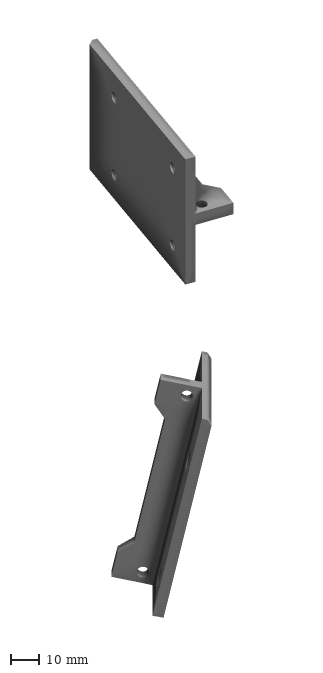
import cadquery as cq

length = 80.0
height = 55.0
plate_thickness = 4.0
end_chamfer = 2.0
relief_width = 0.1
relief_depth = 3.0

plate_hole_diameter = 4.2
countersink_diameter = 7.8
countersink_angle = 90.0
plate_hole_spacing_x = 47.5
plate_hole_spacing_z = 34.0
plate_hole_center_x = 45.75

flange_thickness = 5.0
overall_depth = 19.0
flange_hole_diameter = 4.3
flange_hole_spacing = 71.5
flange_hole_y = 8.5

notch_depth = 5.0
tab_length = 10.0

mid_x = length / 2
mid_z = height / 2


def make_plate():
    """Plate with its front face on Y = 0, profiled in XY and extruded up Z."""
    relief_x = length - relief_width
    profile = [
        (end_chamfer, 0),
        (relief_x, 0),
        (relief_x, relief_depth),
        (length, relief_depth),
        (length, plate_thickness),
        (0, plate_thickness),
        (0, end_chamfer),
    ]
    return cq.Workplane("XY").polyline(profile).close().extrude(height)


def make_flange():
    """Flange at mid height, reaching back from the plate, with a notched rear edge."""
    notch_floor_y = overall_depth - notch_depth
    floor_start_x = tab_length + notch_depth
    profile = [
        (0, plate_thickness),
        (length, plate_thickness),
        (length, overall_depth),
        (length - tab_length, overall_depth),
        (length - floor_start_x, notch_floor_y),
        (floor_start_x, notch_floor_y),
        (tab_length, overall_depth),
        (0, overall_depth),
    ]
    flange_bottom = mid_z - flange_thickness / 2
    return (
        cq.Workplane("XY", origin=(0, 0, flange_bottom))
        .polyline(profile)
        .close()
        .extrude(flange_thickness)
    )


def cut_plate_holes(part):
    """Four holes along Y through the plate, countersunk from its back face."""
    back_face = cq.Workplane("ZX", origin=(plate_hole_center_x, plate_thickness, mid_z))
    return (
        part.copyWorkplane(back_face)
        .rarray(plate_hole_spacing_z, plate_hole_spacing_x, 2, 2)
        .cskHole(plate_hole_diameter, countersink_diameter, countersink_angle)
    )


def make_flange_holes():
    """Two cylinders along Z, passing through the flange near its ends."""
    return (
        cq.Workplane("XY", origin=(mid_x, flange_hole_y, 0))
        .rarray(flange_hole_spacing, 1, 2, 1)
        .circle(flange_hole_diameter / 2)
        .extrude(height)
    )


result = cut_plate_holes(make_plate().union(make_flange()).cut(make_flange_holes()))